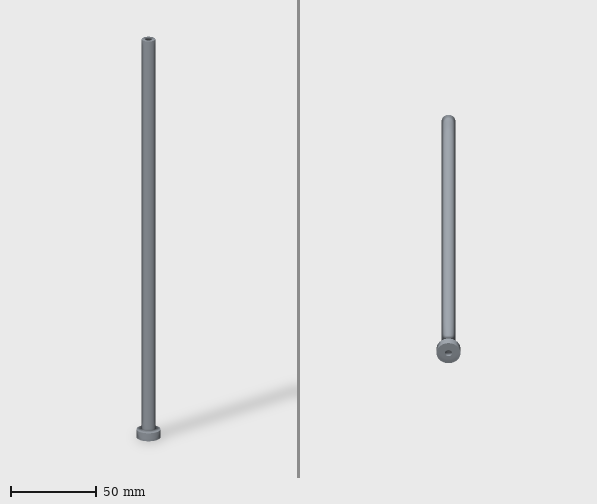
import cadquery as cq

overall_length = 250.0
head_diameter = 14.0
head_height = 5.0
sleeve_diameter = 8.0
bore_diameter = 4.2
root_fillet = 0.5

head_radius = head_diameter / 2
sleeve_radius = sleeve_diameter / 2
bore_radius = bore_diameter / 2

half_section = (
    cq.Workplane("XZ")
    .moveTo(bore_radius, 0)
    .lineTo(head_radius, 0)
    .lineTo(head_radius, head_height)
    .lineTo(sleeve_radius + root_fillet, head_height)
    .radiusArc((sleeve_radius, head_height + root_fillet), root_fillet)
    .lineTo(sleeve_radius, overall_length)
    .lineTo(bore_radius, overall_length)
    .close()
)

result = half_section.revolve(360, (0, 0, 0), (0, 1, 0))